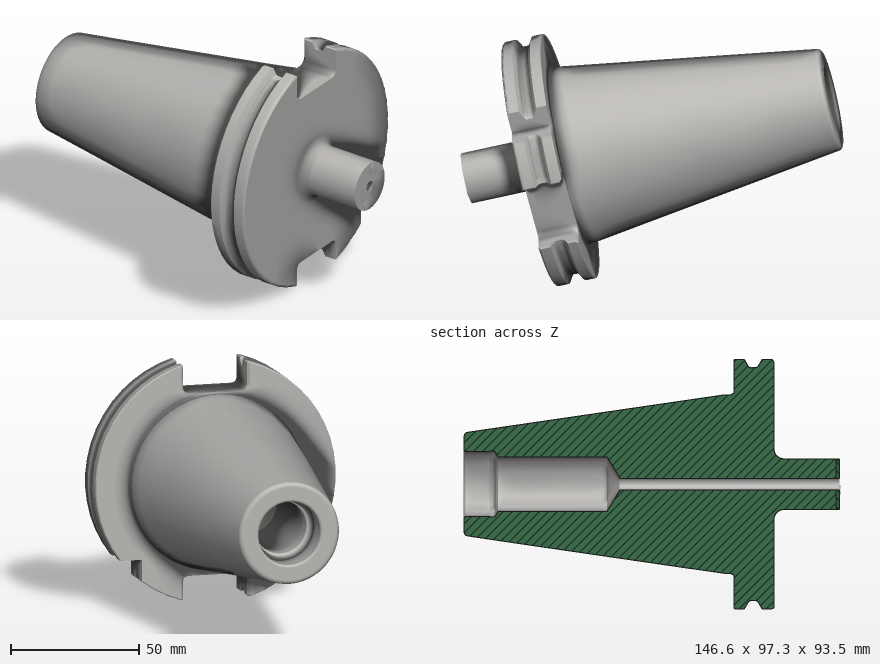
import cadquery as cq
import math

gauge_x = 101.7
neck_x = 103.8
flange_front_x = 105.0
flange_back_x = 120.8
stub_end_x = 146.3
button_end_x = 146.6

taper_ratio = 7 / 24
gauge_diameter = 69.8
small_end_diameter = gauge_diameter - gauge_x * taper_ratio
small_end_fillet = 1.8
neck_flare = 0.6

flange_diameter = 97.3
flange_front_fillet = 0.5
flange_back_fillet = 1.0
groove_center_x = 112.6
groove_width = 6.9
groove_floor_diameter = 90.9
groove_half_angle = math.radians(30)
groove_floor_fillet = 1.2

slot_width = 25.8
upper_slot_height = 35.3
lower_slot_height = 37.1
slot_corner_fillet = 2.2
slot_edge_chamfer = 1.0
slot_rim_chamfer = 0.6
notch_y = 29.8
notch_z = -29.6

stub_diameter = 20.0
stub_root_radius = 3.7

mouth_fillet = 1.0
counterbore_diameter = 25.0
counterbore_depth = 10.0
relief_diameter = 25.5
relief_width = 2.0
thread_bore_diameter = 21.0
lead_in_angle = math.radians(120)
thread_bore_end_x = 55.7
drill_point_angle = math.radians(118)
coolant_diameter = 4.3

plate_diameter = 18.8
plate_thickness = 1.5
button_diameter = 3.5
button_y = 2.27
button_z = 7.2


def cylinder(diameter, start_x, end_x):
    """Solid cylinder on the tool axis."""
    return cq.Workplane("YZ").workplane(offset=start_x).circle(diameter / 2).extrude(end_x - start_x)


def revolve_about_axis(outline):
    """Turn a closed outline, drawn as axial and radial places, about the tool axis."""
    return outline.close().revolve(360, (0, 0, 0), (1, 0, 0))


def make_taper():
    small_radius = small_end_diameter / 2
    gauge_radius = gauge_diameter / 2
    outline = (
        cq.Workplane("XY")
        .lineTo(0, small_radius)
        .lineTo(gauge_x, gauge_radius)
        .lineTo(neck_x, gauge_radius)
        .lineTo(flange_front_x, gauge_radius + neck_flare)
        .lineTo(flange_front_x, 0)
    )
    return revolve_about_axis(outline).faces("<X").edges().fillet(small_end_fillet)


def make_groove_cutter():
    outer_radius = flange_diameter / 2
    floor_radius = groove_floor_diameter / 2
    half_width = groove_width / 2
    half_floor = half_width - (outer_radius - floor_radius) * math.tan(groove_half_angle)
    outline = (
        cq.Workplane("XY")
        .moveTo(groove_center_x - half_width, outer_radius)
        .lineTo(groove_center_x - half_floor, floor_radius)
        .lineTo(groove_center_x + half_floor, floor_radius)
        .lineTo(groove_center_x + half_width, outer_radius)
    )
    floor_edges = cq.selectors.RadiusNthSelector(0)
    return revolve_about_axis(outline).edges(floor_edges).fillet(groove_floor_fillet)


def draw_slot_outline(plane, floor_height, half_width, corner_radius):
    """Section of a drive slot with rounded floor corners and flared rim edges."""
    outer_radius = flange_diameter / 2
    flare_start = math.sqrt(outer_radius**2 - half_width**2) - slot_rim_chamfer
    flare_rise = math.sqrt(outer_radius**2 - (half_width + slot_rim_chamfer) ** 2) - flare_start
    top_half_width = half_width + (outer_radius - flare_start) * slot_rim_chamfer / flare_rise
    arc_offset = corner_radius * (1 - math.sqrt(0.5))
    return (
        plane.moveTo(corner_radius - half_width, floor_height)
        .lineTo(half_width - corner_radius, floor_height)
        .threePointArc(
            (half_width - arc_offset, floor_height + arc_offset),
            (half_width, floor_height + corner_radius),
        )
        .lineTo(half_width, flare_start)
        .lineTo(top_half_width, outer_radius)
        .lineTo(-top_half_width, outer_radius)
        .lineTo(-half_width, flare_start)
        .lineTo(-half_width, floor_height + corner_radius)
        .threePointArc(
            (arc_offset - half_width, floor_height + arc_offset),
            (corner_radius - half_width, floor_height),
        )
        .close()
    )


def make_slot_cutter(floor_height):
    """Cutter for a slot in the top of the flange, chamfered where its walls meet the front face."""
    half_width = slot_width / 2
    front = cq.Workplane("YZ").workplane(offset=flange_front_x)
    slot = draw_slot_outline(front, floor_height, half_width, slot_corner_fillet)
    slot = slot.extrude(flange_back_x - flange_front_x)
    chamfer = draw_slot_outline(
        front, floor_height, half_width + slot_edge_chamfer, slot_corner_fillet + slot_edge_chamfer
    )
    chamfer = chamfer.workplane(offset=slot_edge_chamfer)
    chamfer = draw_slot_outline(chamfer, floor_height, half_width, slot_corner_fillet)
    return slot.union(chamfer.loft(ruled=True))


def make_notch_cutter():
    size = flange_diameter / 2
    return (
        cq.Workplane("XY")
        .box(flange_back_x - flange_front_x, size, size, centered=False)
        .translate((flange_front_x, notch_y, notch_z - size))
    )


def make_flange():
    flange = (
        cylinder(flange_diameter, flange_front_x, flange_back_x)
        .faces("<X")
        .edges()
        .fillet(flange_front_fillet)
        .faces(">X")
        .edges()
        .fillet(flange_back_fillet)
    )
    flange = flange.cut(make_groove_cutter())
    upper_slot = make_slot_cutter(upper_slot_height)
    lower_slot = make_slot_cutter(lower_slot_height).rotate((0, 0, 0), (1, 0, 0), 180)
    flange = flange.cut(upper_slot).cut(lower_slot)
    return flange.cut(make_notch_cutter())


def make_stub():
    """Cylindrical stub that flares into the flange through a concave round."""
    radius = stub_diameter / 2
    diagonal = stub_root_radius * (1 - math.sqrt(0.5))
    outline = (
        cq.Workplane("XY")
        .moveTo(flange_back_x, 0)
        .lineTo(flange_back_x, radius + stub_root_radius)
        .threePointArc(
            (flange_back_x + diagonal, radius + diagonal),
            (flange_back_x + stub_root_radius, radius),
        )
        .lineTo(stub_end_x, radius)
        .lineTo(stub_end_x, 0)
    )
    return revolve_about_axis(outline)


def make_bore_cutter():
    counterbore_radius = counterbore_diameter / 2
    mouth_radius = counterbore_radius + mouth_fillet
    arc_offset = mouth_fillet * (1 - math.sqrt(0.5))
    relief_radius = relief_diameter / 2
    relief_end_x = counterbore_depth + relief_width
    thread_radius = thread_bore_diameter / 2
    coolant_radius = coolant_diameter / 2
    lead_in_length = (relief_radius - thread_radius) / math.tan(lead_in_angle / 2)
    point_length = (thread_radius - coolant_radius) / math.tan(drill_point_angle / 2)
    outline = (
        cq.Workplane("XY")
        .lineTo(0, mouth_radius)
        .threePointArc((arc_offset, counterbore_radius + arc_offset), (mouth_fillet, counterbore_radius))
        .lineTo(counterbore_depth, counterbore_radius)
        .lineTo(counterbore_depth, relief_radius)
        .lineTo(relief_end_x, relief_radius)
        .lineTo(relief_end_x + lead_in_length, thread_radius)
        .lineTo(thread_bore_end_x, thread_radius)
        .lineTo(thread_bore_end_x + point_length, coolant_radius)
        .lineTo(stub_end_x, coolant_radius)
        .lineTo(stub_end_x, 0)
    )
    return revolve_about_axis(outline)


def make_plate_recess():
    return cylinder(plate_diameter, stub_end_x - plate_thickness, stub_end_x)


def make_housing():
    housing = make_taper().union(make_flange()).union(make_stub())
    return housing.cut(make_bore_cutter()).cut(make_plate_recess())


def make_end_plate():
    """Disc set flush into the stub, with two low round buttons and the coolant hole."""
    plate = make_plate_recess()
    buttons = (
        cq.Workplane("YZ")
        .workplane(offset=stub_end_x)
        .pushPoints([(button_y, button_z), (-button_y, -button_z)])
        .circle(button_diameter / 2)
        .extrude(button_end_x - stub_end_x)
    )
    return plate.union(buttons).cut(cylinder(coolant_diameter, 0, stub_end_x))


housing = make_housing()
end_plate = make_end_plate()

result = cq.Compound.makeCompound([housing.val(), end_plate.val()])